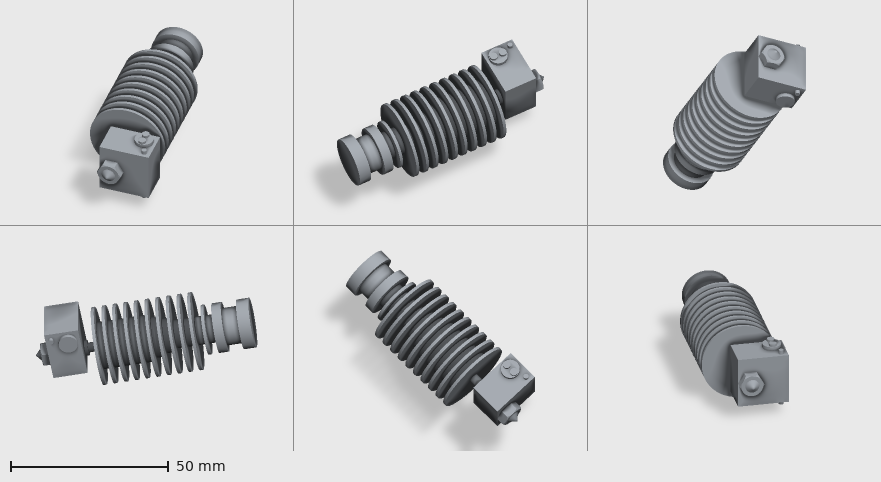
import cadquery as cq
import math

TOTAL_LENGTH = 70.0

FLANGE_DIAMETER = 15.95
GROOVE_DIAMETER = 12.0
REAR_FLANGE_LENGTH = 4.0
GROOVE_LENGTH = 4.9
COLLAR_LENGTH = 12.0

HEATSINK_LENGTH = 50.0
FIN_COUNT = 11
FIN_DIAMETER = 25.0
FIN_THICKNESS = 1.0
FIN_PITCH = (HEATSINK_LENGTH - COLLAR_LENGTH) / FIN_COUNT
NECK_DIAMETER = 9.0
FIRST_STEP_DIAMETER = 11.05
SECOND_STEP_DIAMETER = 13.0
CORE_DIAMETER = 15.05
FINS_ON_NECK = 4

STEM_DIAMETER = 3.15
STEM_LENGTH = 3.0
STEM_COLLAR_DIAMETER = 5.0
STEM_COLLAR_LENGTH = 1.05

BLOCK_SIDE = 16.5
BLOCK_LENGTH = 11.0
BLOCK_START = HEATSINK_LENGTH + STEM_LENGTH + STEM_COLLAR_LENGTH
BLOCK_END = BLOCK_START + BLOCK_LENGTH
BLOCK_CENTER_X = (FIN_DIAMETER - BLOCK_SIDE) / 2

CARTRIDGE_DIAMETER = 6.0
CARTRIDGE_X = 8.5
CARTRIDGE_STATION = BLOCK_START + 3.9
LEAD_DIAMETER = 2.45
LEAD_SPACING = 3.3
LEAD_LENGTH = 0.85
SENSOR_DIAMETER = 1.6
SENSOR_X = 10.35
SENSOR_STATION = BLOCK_END - 1.8
INSERT_PROTRUSION = 1.25
INSERT_LENGTH = BLOCK_SIDE + 2 * INSERT_PROTRUSION

HEX_ACROSS_FLATS = 7.0
HEX_ACROSS_CORNERS = HEX_ACROSS_FLATS / math.cos(math.pi / 6)
HEX_LENGTH = 2.95
HEX_CHAMFER = (HEX_ACROSS_CORNERS - HEX_ACROSS_FLATS) / 2
HEX_END = BLOCK_END + HEX_LENGTH
TIP_LENGTH = TOTAL_LENGTH - HEX_END
TIP_BASE_RADIUS = 2.25


def plane_at(station):
    """Plane across the axis, with extrusion toward -Y."""
    return cq.Workplane("XZ", origin=(0, -station, 0))


def axial_disc(station, length, diameter):
    return plane_at(station).circle(diameter / 2).extrude(length)


def vertical_pin(x, station, bottom, length, diameter):
    return cq.Workplane("XY", origin=(x, -station, bottom)).circle(diameter / 2).extrude(length)


def core_diameter_after(fin_number):
    """Diameter of the core in the gap that follows a fin, counted from 1."""
    if fin_number < FINS_ON_NECK:
        return NECK_DIAMETER
    if fin_number == FINS_ON_NECK:
        return FIRST_STEP_DIAMETER
    if fin_number == FINS_ON_NECK + 1:
        return SECOND_STEP_DIAMETER
    return CORE_DIAMETER


def make_heatsink():
    front_flange_start = REAR_FLANGE_LENGTH + GROOVE_LENGTH
    front_flange_length = COLLAR_LENGTH - front_flange_start
    body = axial_disc(0, REAR_FLANGE_LENGTH, FLANGE_DIAMETER)
    body = body.union(axial_disc(REAR_FLANGE_LENGTH, GROOVE_LENGTH, GROOVE_DIAMETER))
    body = body.union(axial_disc(front_flange_start, front_flange_length, FLANGE_DIAMETER))

    gap = FIN_PITCH - FIN_THICKNESS
    for fin_number in range(1, FIN_COUNT + 1):
        gap_start = COLLAR_LENGTH + (fin_number - 1) * FIN_PITCH
        fin_diameter = FLANGE_DIAMETER if fin_number == 1 else FIN_DIAMETER
        body = body.union(axial_disc(gap_start, gap, core_diameter_after(fin_number - 1)))
        body = body.union(axial_disc(gap_start + gap, FIN_THICKNESS, fin_diameter))
    return body


def make_nozzle():
    hexagon = plane_at(BLOCK_END).polygon(6, HEX_ACROSS_CORNERS).extrude(HEX_LENGTH)
    bevel = axial_disc(BLOCK_END, HEX_LENGTH, HEX_ACROSS_CORNERS).faces("<Y").chamfer(HEX_CHAMFER)
    tip = cq.Workplane(cq.Solid.makeCone(
        TIP_BASE_RADIUS, 0, TIP_LENGTH, cq.Vector(0, -HEX_END, 0), cq.Vector(0, -1, 0)))
    return hexagon.intersect(bevel).union(tip)


def make_hot_end():
    stem = axial_disc(HEATSINK_LENGTH, STEM_LENGTH, STEM_DIAMETER)
    stem_collar = axial_disc(HEATSINK_LENGTH + STEM_LENGTH, STEM_COLLAR_LENGTH, STEM_COLLAR_DIAMETER)
    block = plane_at(BLOCK_START).center(BLOCK_CENTER_X, 0).rect(BLOCK_SIDE, BLOCK_SIDE).extrude(BLOCK_LENGTH)
    body = block.union(stem_collar).union(stem).union(make_nozzle())

    insert_bottom = -INSERT_LENGTH / 2
    cartridge = vertical_pin(CARTRIDGE_X, CARTRIDGE_STATION, insert_bottom, INSERT_LENGTH, CARTRIDGE_DIAMETER)
    sensor = vertical_pin(SENSOR_X, SENSOR_STATION, insert_bottom, INSERT_LENGTH, SENSOR_DIAMETER)
    body = body.union(cartridge).union(sensor)
    for side in (-1, 1):
        lead_station = CARTRIDGE_STATION + side * LEAD_SPACING / 2
        lead = vertical_pin(CARTRIDGE_X, lead_station, INSERT_LENGTH / 2, LEAD_LENGTH, LEAD_DIAMETER)
        body = body.union(lead)
    return body


heatsink = make_heatsink()
hot_end = make_hot_end()
result = cq.Compound.makeCompound([heatsink.val(), hot_end.val()])